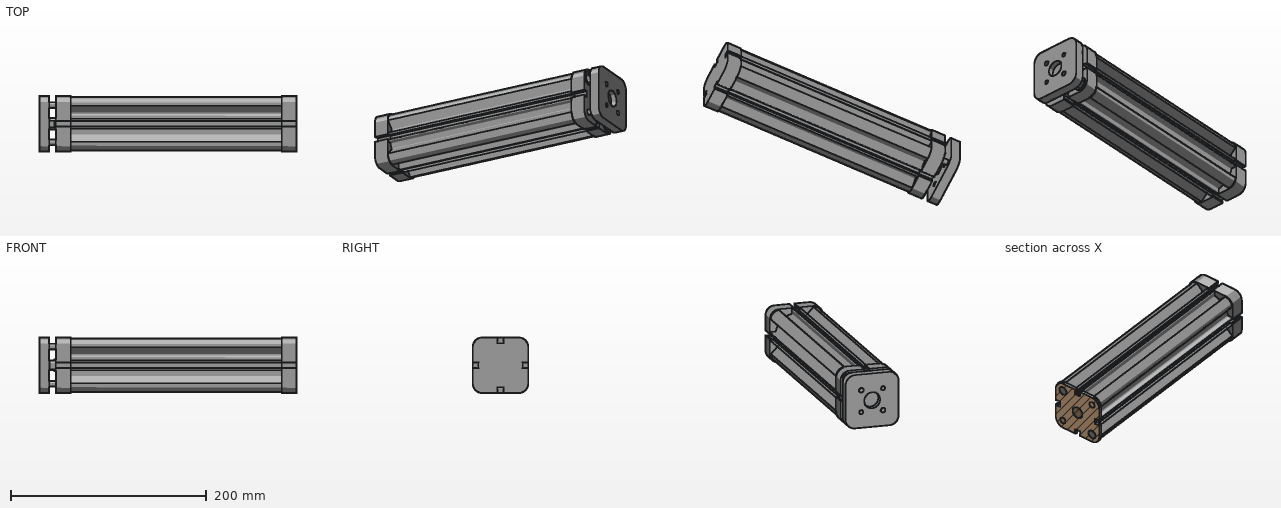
import cadquery as cq
import math

total_length = 263.0
plate_thickness = 10.0
plate_gap = 7.0
cap_length = 15.0
front_cap_start = plate_thickness + plate_gap
barrel_start = front_cap_start + cap_length
rear_cap_start = total_length - cap_length
barrel_length = rear_cap_start - barrel_start

section_width = 57.0
half_width = section_width / 2
corner_radius = 10.0
corner_center = half_width - corner_radius

lobe_radius = corner_radius - 1.0
barrel_half = corner_center + lobe_radius
tube_radius = 22.8
lobe_root_radius = 1.4
rib_half_width = 5.0
rib_root_radius = 1.2
rib_edge_radius = 0.8

slot_mouth_width = 5.4
slot_inner_width = 6.4
slot_mouth_radius = 0.8
barrel_lip_thickness = 2.5
barrel_slot_depth = 5.7
cap_lip_thickness = 2.0
cap_slot_depth = 5.8

plate_recess_diameter = 17.0
plate_recess_depth = 6.0
plate_hole_offset = 11.7
screw_hole_diameter = 4.2
dowel_hole_diameter = 5.0

piston_rod_diameter = 12.0
piston_rod_chamfer = 0.7
rod_flat_width = 10.0
rod_flat_length = 5.5

cap_hole_offset = 19.0
guide_rod_diameter = 6.0
mounting_bore_diameter = 9.0
mounting_bore_depth = 12.0
mounting_recess_diameter = 14.0
mounting_recess_depth = 0.5


def section_plane(x):
    """Plane across the axis at x; its local axes are Y and Z."""
    return cq.Workplane("YZ", origin=(x, 0, 0))


def rounded_block(x, length):
    """Square block with rounded corners, running along X."""
    block = section_plane(x).rect(section_width, section_width).extrude(length)
    return block.edges("|X").fillet(corner_radius)


def round_bar(x, length, diameter, y=0.0, z=0.0):
    """Round bar parallel to X."""
    return section_plane(x).center(y, z).circle(diameter / 2).extrude(length)


def side_copies(shape):
    """The same shape on the four sides around X."""
    return [shape.rotate((0, 0, 0), (1, 0, 0), 90 * side) for side in range(4)]


def rising_diagonal(offset):
    """The two (y, z) corners where Y and Z have the same sign."""
    return [(offset, offset), (-offset, -offset)]


def falling_diagonal(offset):
    """The two (y, z) corners where Y and Z have opposite signs."""
    return [(-offset, offset), (offset, -offset)]




def corner_lobe():
    """Lobe on the +Y +Z corner: a quarter round outside, 45 degree flanks running inwards."""
    arc_middle = corner_center + lobe_radius * math.sqrt(0.5)
    flank_end = barrel_half - corner_center
    return (
        section_plane(barrel_start)
        .moveTo(corner_center, barrel_half)
        .threePointArc((arc_middle, arc_middle), (barrel_half, corner_center))
        .lineTo(flank_end, 0)
        .lineTo(0, flank_end)
        .close()
        .extrude(barrel_length)
    )


def side_rib():
    """Rib on the +Z side, with rounded outer edges."""
    rib = section_plane(barrel_start).center(0, barrel_half / 2)
    rib = rib.rect(2 * rib_half_width, barrel_half).extrude(barrel_length)
    return rib.edges("|X and >Z").fillet(rib_edge_radius)


def fillet_tube_corners(body, at_ribs, radius):
    """Round the inner corners on the tube surface, either beside the ribs or beside the lobes."""
    tolerance = 0.01
    picked = []
    for edge in body.edges("|X").vals():
        middle = edge.Center()
        on_tube = abs(math.hypot(middle.y, middle.z) - tube_radius) < tolerance
        beside_rib = min(abs(middle.y), abs(middle.z)) < rib_half_width + tolerance
        if on_tube and beside_rib == at_ribs:
            picked.append(edge)
    return body.newObject(picked).fillet(radius)


def make_barrel():
    body = round_bar(barrel_start, barrel_length, 2 * tube_radius)
    for added in side_copies(corner_lobe()) + side_copies(side_rib()):
        body = body.union(added)
    body = fillet_tube_corners(body, True, rib_root_radius)
    return fillet_tube_corners(body, False, lobe_root_radius)


def slot_cutter(x, length, top, depth, lip_thickness):
    """T-shaped slot in the +Z side, open at the top."""
    floor = top - depth
    inner_height = depth - lip_thickness
    mouth = section_plane(x).center(0, floor + depth / 2).rect(slot_mouth_width, depth).extrude(length)
    inner = section_plane(x).center(0, floor + inner_height / 2)
    return mouth.union(inner.rect(slot_inner_width, inner_height).extrude(length))


def mouth_rounding_cutter():
    """Cutter that rounds both edges of the barrel slot mouth on the +Z side."""
    half_mouth = slot_mouth_width / 2
    outer = half_mouth + slot_mouth_radius
    low = barrel_half - slot_mouth_radius
    inset = slot_mouth_radius * (1 - math.sqrt(0.5))
    return (
        section_plane(barrel_start)
        .moveTo(-outer, barrel_half)
        .threePointArc((-half_mouth - inset, barrel_half - inset), (-half_mouth, low))
        .lineTo(half_mouth, low)
        .threePointArc((half_mouth + inset, barrel_half - inset), (outer, barrel_half))
        .close()
        .extrude(barrel_length)
    )


def slot_cutters():
    """Every slot cutter on the +Z side: one for the barrel and one for each cap."""
    barrel_slot = slot_cutter(
        barrel_start, barrel_length, barrel_half, barrel_slot_depth, barrel_lip_thickness
    )
    cutters = [barrel_slot.union(mouth_rounding_cutter())]
    for cap_start in (front_cap_start, rear_cap_start):
        cutters.append(slot_cutter(cap_start, cap_length, half_width, cap_slot_depth, cap_lip_thickness))
    return cutters


def make_housing():
    body = rounded_block(front_cap_start, cap_length)
    body = body.union(make_barrel())
    body = body.union(rounded_block(rear_cap_start, cap_length))
    for cutter in slot_cutters():
        for slot in side_copies(cutter):
            body = body.cut(slot)
    body = body.cut(round_bar(front_cap_start, cap_length, piston_rod_diameter))
    for y, z in falling_diagonal(cap_hole_offset):
        body = body.cut(round_bar(front_cap_start, cap_length, guide_rod_diameter, y, z))
    for y, z in rising_diagonal(cap_hole_offset):
        body = body.cut(round_bar(front_cap_start, mounting_bore_depth, mounting_bore_diameter, y, z))
        body = body.cut(round_bar(front_cap_start, mounting_recess_depth, mounting_recess_diameter, y, z))
    return body




def make_plate():
    body = rounded_block(0, plate_thickness)
    body = body.cut(round_bar(0, plate_recess_depth, plate_recess_diameter))
    for y, z in rising_diagonal(plate_hole_offset):
        body = body.cut(round_bar(0, plate_thickness, dowel_hole_diameter, y, z))
    for y, z in falling_diagonal(plate_hole_offset):
        body = body.cut(round_bar(0, plate_thickness, screw_hole_diameter, y, z))
    return body



rod_length = barrel_start - plate_thickness


def make_piston_rod():
    """Piston rod with a chamfered front end and a flat on its +Z and -Z sides."""
    body = round_bar(plate_thickness, rod_length, piston_rod_diameter)
    body = body.faces("<X").chamfer(piston_rod_chamfer)
    flat_x = plate_thickness + rod_flat_length / 2
    flat_z = (rod_flat_width + piston_rod_diameter) / 2
    for side in (1, -1):
        flat_cut = cq.Workplane("XY").box(rod_flat_length, piston_rod_diameter, piston_rod_diameter)
        body = body.cut(flat_cut.translate((flat_x, 0, side * flat_z)))
    return body


def make_guide_rod(y, z):
    return round_bar(plate_thickness, rod_length, guide_rod_diameter, y, z)


housing = make_housing()
plate = make_plate()
piston_rod = make_piston_rod()
guide_rods = [make_guide_rod(y, z) for y, z in falling_diagonal(cap_hole_offset)]

result = cq.Compound.makeCompound(
    [housing.val(), plate.val(), piston_rod.val(), *[guide_rod.val() for guide_rod in guide_rods]]
)